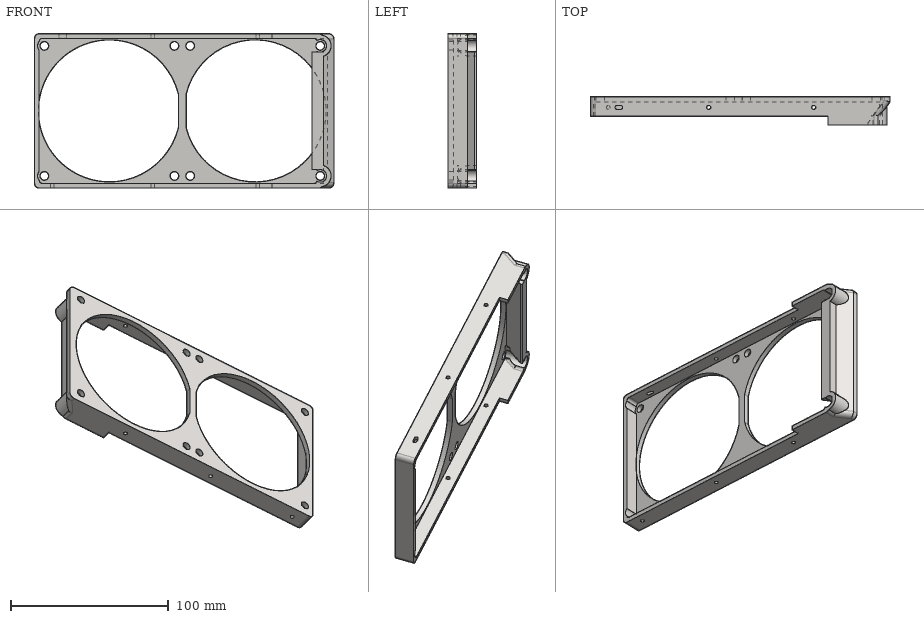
import cadquery as cq

length = 190.0
height = 98.0
depth = 18.2
left_corner_radius = 3.0
right_corner_radius = 3.5

plate_thickness = 3.5
wall = 3.0
low_wall_depth = 12.5
high_wall_start = 150.6

neck_x = 183.4
slope_end_depth = low_wall_depth
slope_wall = 4.2
inner_corner_radius = 2.0
lip_x = 176.0

fan_centers_x = (47.5, 140.0)
fan_opening_diameter = 90.0
fan_opening_edge = 43.7
fan_hole_pitch = 82.5
fan_hole_diameter = 5.3
left_relief_radius = 4.3
right_relief_radius = 4.0
boss_radius = 6.9

pin_diameter = 2.4
pin_depth = 6.9
pin_positions_x = (75.0, 141.6)
slot_x = 18.0
slot_length = 4.8
corner_pin_x = 11.3

middle_z = height / 2
hole_offset = fan_hole_pitch / 2
left_hole_x = fan_centers_x[0] - hole_offset
right_hole_x = fan_centers_x[1] + hole_offset
slope_run = length - neck_x
slope_rise = slope_end_depth - plate_thickness
inner_neck_x = neck_x - slope_wall


def prism(points, z_low, z_high):
    """Extrude an outline of (x, distance from the back face) points along Z."""
    outline = [(x, -distance) for x, distance in points]
    return cq.Workplane("XY").workplane(offset=z_low).polyline(outline).close().extrude(z_high - z_low)


def cylinders(centers, radius, start, end):
    """Cylinders along Y at (x, z) centers between two distances from the back face."""
    plane = cq.Plane(origin=(0, -start, 0), xDir=(-1, 0, 0), normal=(0, -1, 0))
    sketch = cq.Workplane(plane).pushPoints([(-x, -z) for x, z in centers])
    return sketch.circle(radius).extrude(end - start)


def corner_holes(x_positions):
    """Lower and upper screw position at every given X."""
    return [(x, middle_z + side * hole_offset) for x in x_positions for side in (-1, 1)]


def fillet_right_end(body, end_x, radius):
    """Round the top and bottom edges of the bent right end face."""
    margin = 1.0
    low_corner = (end_x - margin, -depth, -margin)
    high_corner = (length + margin, 0, height + margin)
    around_end = cq.selectors.BoxSelector(low_corner, high_corner)
    return body.edges(around_end).edges("#Z and (not |X)").fillet(radius)


def outer_body():
    profile = [
        (0, 0),
        (length, 0),
        (length, plate_thickness),
        (neck_x, slope_end_depth),
        (neck_x, depth),
        (high_wall_start, depth),
        (high_wall_start, low_wall_depth),
        (0, low_wall_depth),
    ]
    body = prism(profile, 0, height)
    body = body.faces("<X").edges("|Y").fillet(left_corner_radius)
    return fillet_right_end(body, neck_x, right_corner_radius)


def cavity():
    """Space inside the walls, from the plate to the open front."""
    profile = [
        (wall, plate_thickness),
        (length - slope_wall, plate_thickness),
        (inner_neck_x, slope_end_depth),
        (inner_neck_x, depth),
        (wall, depth),
    ]
    pocket = prism(profile, wall, height - wall)
    pocket = pocket.faces("<X").edges("|Y").fillet(inner_corner_radius)
    return fillet_right_end(pocket, inner_neck_x, inner_corner_radius)


def lip():
    """Rail along the right end wall, between the two screw housings."""
    half_height = hole_offset - right_relief_radius
    edge_start = slope_end_depth + (inner_neck_x - lip_x) * slope_rise / slope_run
    profile = [
        (neck_x, slope_end_depth),
        (neck_x, depth),
        (lip_x, depth),
        (lip_x, edge_start),
        (inner_neck_x, slope_end_depth),
    ]
    return prism(profile, middle_z - half_height, middle_z + half_height)


def fan_opening(center_x, web_side):
    """Round opening cut flat on the side of the middle web."""
    opening = cylinders([(center_x, middle_z)], fan_opening_diameter / 2, 0, plate_thickness)
    keep = cq.Workplane("XY").box(fan_opening_diameter, depth * 2, fan_opening_diameter)
    shift = fan_opening_edge - fan_opening_diameter / 2
    return opening.intersect(keep.translate((center_x + web_side * shift, 0, middle_z)))


def inner_bosses(bosses):
    """Parts of the screw housings that stay inside the tray, against the sloped wall."""
    end_block = prism([(neck_x, 0), (length, 0), (length, depth), (neck_x, depth)], 0, height)
    return bosses.intersect(end_block)


def wall_holes():
    lower = cq.Workplane("XY", origin=(0, -pin_depth, 0))
    upper = cq.Workplane("XY", origin=(0, -pin_depth, middle_z))
    pins = lower.pushPoints([(x, 0) for x in pin_positions_x]).circle(pin_diameter / 2).extrude(height)
    slot = upper.center(slot_x, 0).slot2D(slot_length, pin_diameter).extrude(middle_z)
    corner_pin = cq.Workplane("XY", origin=(corner_pin_x, -pin_depth, 0)).circle(pin_diameter / 2)
    return pins.union(slot).union(corner_pin.extrude(middle_z))


all_hole_x = [center + side * hole_offset for center in fan_centers_x for side in (-1, 1)]

result = outer_body()
bosses = cylinders(corner_holes([right_hole_x]), boss_radius, plate_thickness, depth)
result = result.union(bosses)
result = result.cut(cavity()).union(inner_bosses(bosses))
result = result.union(lip())
result = result.cut(cylinders(corner_holes([left_hole_x]), left_relief_radius, plate_thickness, depth))
result = result.cut(cylinders(corner_holes([right_hole_x]), right_relief_radius, plate_thickness, depth))
result = result.cut(fan_opening(fan_centers_x[0], 1)).cut(fan_opening(fan_centers_x[1], -1))
result = result.cut(cylinders(corner_holes(all_hole_x), fan_hole_diameter / 2, 0, plate_thickness))
result = result.cut(wall_holes())